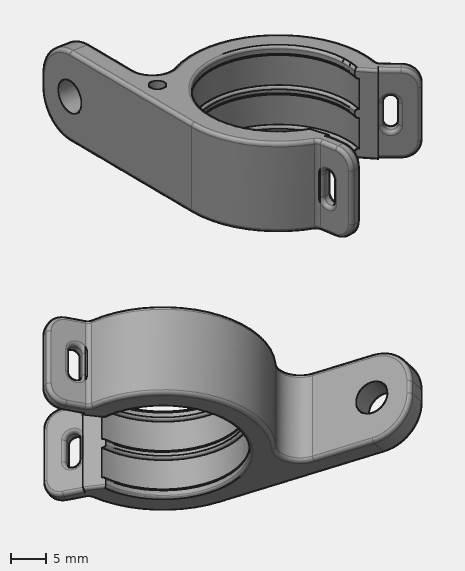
import cadquery as cq
import math

height = 14.5
edge_radius = 0.6

outer_radius = 15.95
band_inner_radius = 14.3
bore_radius = 12.25
ring_x = 33.2
ring_y = outer_radius
mouth_direction = 30.0

plate_thickness = 3.65
plate_corner_radius = 6.25
mount_hole_x = 6.3
mount_hole_diameter = 5.1
neck_radius = 3.4

pin_hole_x = 21.65
pin_hole_y = 3.35
pin_hole_diameter = 2.5
pin_hole_depth = 5.45

ear_splay = 20.0
ear_inner_offset = 5.7
ear_thickness = 2.05
ear_outer_offset = ear_inner_offset + ear_thickness
ear_reach = 20.15
ear_corner_radius = 2.95
ear_root_radius = 0.85

slot_length = 5.65
slot_width = 2.05
slot_from_tip = 4.4

lining_overlap = 0.25
lining_end_angle = 48.5
lip_reach = 14.05
lip_height = 0.3
lip_root = 0.65
lining_round = 0.45
groove_depth = 0.5
end_rib_height = 1.65
middle_rib_height = 1.45
groove_height = (height - 2 * end_rib_height - middle_rib_height) / 2


def polar(radius, angle):
    """Point at an angle in degrees around the origin."""
    return radius * math.cos(math.radians(angle)), radius * math.sin(math.radians(angle))


def ring_point(radius, angle, side=1):
    """Point around the ring centre; the angle runs from the mouth direction towards one side."""
    dx, dy = polar(radius, mouth_direction + side * angle)
    return ring_x + dx, ring_y + dy


def ear_point(along, offset, side):
    """Point on an ear, given along the ear and outwards across it."""
    angle = ear_splay + math.degrees(math.atan2(offset, along))
    return ring_point(math.hypot(along, offset), angle, side)


def prism(outline):
    return outline.close().extrude(height)


def ring_disc(radius):
    return cq.Workplane("XY").center(ring_x, ring_y).circle(radius).extrude(height)


def ear_blank(side):
    """Straight ear with rounded tip corners and a concave blend to the ring."""
    blend_offset = ear_outer_offset + ear_root_radius
    blend_along = math.sqrt((outer_radius + ear_root_radius) ** 2 - blend_offset ** 2)
    blend_angle = ear_splay + math.degrees(math.atan2(blend_offset, blend_along))
    root_along = math.sqrt(band_inner_radius ** 2 - ear_inner_offset ** 2)
    toward_ring = blend_angle - ear_splay + 180
    mid_dx, mid_dy = polar(ear_root_radius, (toward_ring + 270) / 2)
    ear = prism(
        cq.Workplane("XY")
        .moveTo(*ear_point(root_along, ear_inner_offset, side))
        .lineTo(*ear_point(ear_reach, ear_inner_offset, side))
        .lineTo(*ear_point(ear_reach, ear_outer_offset, side))
        .lineTo(*ear_point(blend_along, ear_outer_offset, side))
        .threePointArc(
            ear_point(blend_along + mid_dx, blend_offset + mid_dy, side),
            ring_point(outer_radius, blend_angle, side),
        )
        .lineTo(*ring_point(band_inner_radius, blend_angle, side))
    )
    tip = ear_point(ear_reach, ear_inner_offset + ear_thickness / 2, side)
    for level in (0, height):
        tip_corner = cq.selectors.NearestToPointSelector((*tip, level))
        ear = ear.edges(tip_corner).fillet(ear_corner_radius)
    return ear


def plate_blank():
    """Plate with rounded free end, blended into the ring at the neck."""
    plate = cq.Workplane("XY").rect(ring_x, plate_thickness, centered=False).extrude(height)
    plate = plate.edges("<X and |Y").fillet(plate_corner_radius)
    blend_y = plate_thickness + neck_radius
    reach = outer_radius + neck_radius
    blend_x = ring_x - math.sqrt(reach ** 2 - (ring_y - blend_y) ** 2)
    ring_share = outer_radius / reach
    tangent = (
        ring_x + (blend_x - ring_x) * ring_share,
        ring_y + (blend_y - ring_y) * ring_share,
    )
    toward_ring = math.degrees(math.atan2(ring_y - blend_y, ring_x - blend_x))
    mid_dx, mid_dy = polar(neck_radius, (toward_ring - 90) / 2)
    neck = prism(
        cq.Workplane("XY")
        .moveTo(blend_x, plate_thickness)
        .threePointArc((blend_x + mid_dx, blend_y + mid_dy), tangent)
        .lineTo(ring_x, ring_y)
        .lineTo(ring_x, 0)
        .lineTo(blend_x, 0)
    )
    return plate.union(neck)


def mouth_wedge():
    """Sector removed from the ring between the two ears."""
    root_angle = ear_splay + math.degrees(math.asin(ear_inner_offset / band_inner_radius))
    return prism(
        cq.Workplane("XY")
        .moveTo(ring_x, ring_y)
        .lineTo(*ring_point(band_inner_radius, root_angle))
        .lineTo(*ear_point(2 * outer_radius, ear_inner_offset, 1))
        .lineTo(*ear_point(2 * outer_radius, ear_inner_offset, -1))
        .lineTo(*ring_point(band_inner_radius, root_angle, -1))
    )


def band():
    """Stiff band: plate, ring and ears, with all outer rims rounded."""
    body = plate_blank().union(ring_disc(outer_radius)).cut(mouth_wedge())
    for side in (1, -1):
        body = body.union(ear_blank(side))
    body = body.cut(ring_disc(band_inner_radius))

    plate_middle = (plate_corner_radius + ring_x) / 2
    rim_points = [
        (plate_middle, 0),
        (2 * plate_corner_radius, plate_thickness),
        ear_point(band_inner_radius, ear_inner_offset, 1),
        ear_point(band_inner_radius, ear_inner_offset, -1),
    ]
    rims = cq.Workplane("XY")
    for x, y in rim_points:
        rims = rims.add(body.edges(cq.selectors.NearestToPointSelector((x, y, height))))
    return body.newObject(rims.vals()).fillet(edge_radius)


def lining():
    """Ribbed lining of the bore, flaring out to a small lip at either side of the mouth."""
    back_radius = band_inner_radius + lining_overlap
    lip_offset = ear_inner_offset - lip_height
    root_offset = ear_inner_offset + lip_root
    body = prism(
        cq.Workplane("XY")
        .moveTo(*ring_point(bore_radius, lining_end_angle))
        .lineTo(*ear_point(lip_reach, lip_offset, 1))
        .lineTo(*ear_point(lip_reach, root_offset, 1))
        .lineTo(*ring_point(back_radius, lining_end_angle))
        .threePointArc(
            ring_point(back_radius, 180), ring_point(back_radius, lining_end_angle, -1)
        )
        .lineTo(*ear_point(lip_reach, root_offset, -1))
        .lineTo(*ear_point(lip_reach, lip_offset, -1))
        .lineTo(*ring_point(bore_radius, lining_end_angle, -1))
        .threePointArc(
            ring_point(bore_radius, 180), ring_point(bore_radius, lining_end_angle)
        )
    )
    for base in (end_rib_height, height - end_rib_height - groove_height):
        groove = (
            cq.Workplane("XY", origin=(ring_x, ring_y, base))
            .circle(bore_radius + groove_depth)
            .extrude(groove_height)
        )
        body = body.cut(groove)
    rounded_edges = body.edges("%CIRCLE").filter(
        lambda edge: math.isclose(edge.radius(), bore_radius, abs_tol=0.005)
    )
    for side in (1, -1):
        bore_end = ring_point(bore_radius, lining_end_angle, side)
        lip = ear_point(lip_reach, lip_offset, side)
        flare_x = (bore_end[0] + lip[0]) / 2
        flare_y = (bore_end[1] + lip[1]) / 2
        for level in (0, height):
            flare = cq.selectors.NearestToPointSelector((flare_x, flare_y, level))
            rounded_edges = rounded_edges.add(body.edges(flare))
    return body.newObject(rounded_edges.vals()).fillet(lining_round)


def ear_slot(side):
    """Cutter for the round-ended slot through an ear, with both rims rounded over."""
    ear_angle = mouth_direction + side * ear_splay
    middle = ear_point(ear_reach - slot_from_tip, ear_inner_offset + ear_thickness / 2, side)
    plane = cq.Plane(
        origin=(*middle, height / 2),
        xDir=(*polar(1, ear_angle), 0),
        normal=(*polar(1, ear_angle + 90), 0),
    )
    half_thickness = ear_thickness / 2
    block = (
        cq.Workplane(plane)
        .rect(slot_width + 4 * edge_radius, slot_length + 4 * edge_radius)
        .extrude(half_thickness, both=True)
    )
    through = (
        cq.Workplane(plane)
        .slot2D(slot_length, slot_width, 90)
        .extrude(half_thickness, both=True)
    )
    wall = block.cut(through)
    rim_seeds = cq.Workplane("XY")
    for face_offset in (-half_thickness, half_thickness):
        seed = plane.toWorldCoords((slot_width / 2, 0, face_offset))
        rim_seeds = rim_seeds.add(wall.edges(cq.selectors.NearestToPointSelector(seed)))
    wall = wall.newObject(rim_seeds.vals()).fillet(edge_radius)
    return block.cut(wall)


def mount_hole():
    plane = cq.Workplane("XZ", origin=(mount_hole_x, 0, height / 2))
    return plane.circle(mount_hole_diameter / 2).extrude(-plate_thickness)


def pin_hole():
    plane = cq.Workplane("XY", origin=(pin_hole_x, pin_hole_y, height))
    return plane.circle(pin_hole_diameter / 2).extrude(-pin_hole_depth)


result = band().union(lining()).cut(mount_hole()).cut(pin_hole())
for mouth_side in (1, -1):
    result = result.cut(ear_slot(mouth_side))